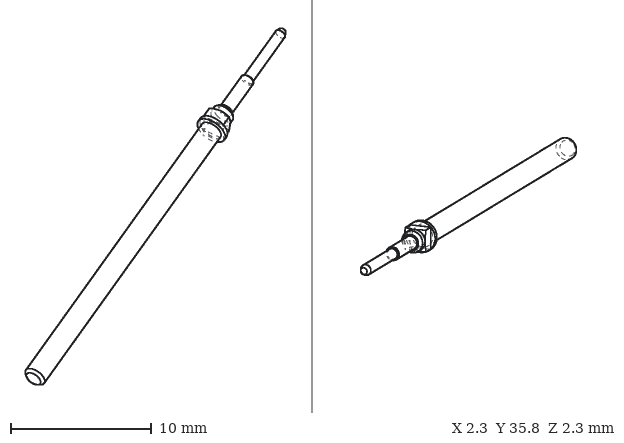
import cadquery as cq

length = 35.8
flange_diameter = 2.3

tip_diameter = 0.8
sleeve_diameter = 1.0
neck_diameter = 1.2
body_diameter = 1.6

sleeve_start = 5.0
sleeve_end = 8.25
square_start = 8.95
flange_start = 9.95
flange_thickness = 0.32
end_cap_length = 3.0

tip_chamfer_length = 0.35
tip_chamfer_depth = 0.15
sleeve_chamfer = 0.07
end_chamfer = 0.2
square_bevel_length = 0.18
neck_cone_length = 0.3

tip_y = length / 2
tail_y = -length / 2
cap_y = tail_y + end_cap_length
flange_front_y = tip_y - flange_start
flange_back_y = flange_front_y - flange_thickness
neck_front_y = tip_y - sleeve_end
square_front_y = tip_y - square_start
tip_radius = tip_diameter / 2
sleeve_radius = sleeve_diameter / 2
neck_radius = neck_diameter / 2
body_radius = body_diameter / 2
flange_radius = flange_diameter / 2


def revolve_about_y(points):
    """Turn a closed (radius, y) outline into a solid around the Y axis."""
    return cq.Workplane("XY").polyline(points).close().revolve(360, (0, 0, 0), (0, 1, 0))


def make_rear_body():
    """Long rod with a separate end cap section, chamfered at the tail."""
    rod_length = flange_back_y - cap_y
    rod = cq.Workplane("XZ", origin=(0, flange_back_y, 0)).circle(body_radius).extrude(rod_length)
    cap = (
        cq.Workplane("XZ", origin=(0, cap_y, 0))
        .circle(body_radius)
        .extrude(end_cap_length)
        .faces("<Y")
        .chamfer(end_chamfer)
    )
    return rod.union(cap, clean=False)


def make_front_pin():
    """Flange, round neck, sleeve and slender chamfered tip, turned as one profile."""
    sleeve_front_y = tip_y - sleeve_start
    return revolve_about_y([
        (0, flange_back_y),
        (flange_radius, flange_back_y),
        (flange_radius, flange_front_y),
        (body_radius, flange_front_y),
        (body_radius, neck_front_y - neck_cone_length),
        (neck_radius, neck_front_y),
        (sleeve_radius, neck_front_y),
        (sleeve_radius, sleeve_front_y - sleeve_chamfer),
        (sleeve_radius - sleeve_chamfer, sleeve_front_y),
        (tip_radius, sleeve_front_y),
        (tip_radius, tip_y - tip_chamfer_length),
        (tip_radius - tip_chamfer_depth, tip_y),
        (0, tip_y),
    ])


def make_square_section():
    """Square ahead of the flange, its corners bevelled by a cone at the front."""
    square_length = flange_start - square_start
    square = cq.Workplane("XZ", origin=(0, square_front_y, 0)).rect(body_diameter, body_diameter)
    bevel = revolve_about_y([
        (0, flange_front_y),
        (flange_radius, flange_front_y),
        (flange_radius, square_front_y - square_bevel_length),
        (body_radius, square_front_y),
        (0, square_front_y),
    ])
    return square.extrude(square_length).intersect(bevel)


front = make_front_pin().union(make_square_section())
result = front.union(make_rear_body(), clean=False)